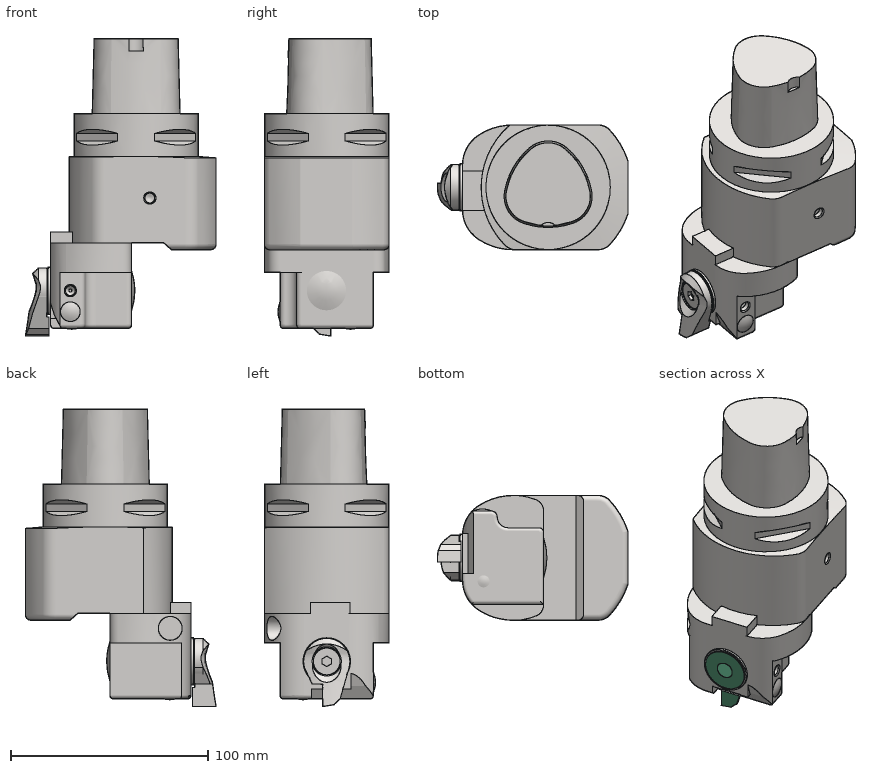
import cadquery as cq
import math


TAPER_HEIGHT = 38.0
TAPER_ANGLE = math.degrees(math.atan(1 / 40))
LOBE_REACH = 23.5
LOBE_RADIUS = 14.5
SIDE_REACH = 20.4
KEYWAY_DIA = 10.0
KEYWAY_DEPTH = 6.3
KEYWAY_AXIS_Y = -22.8

FLANGE_RADIUS = 31.5
FLANGE_HEIGHT = 21.7
GRIP_FLOOR = 28.0
GRIP_TOP = -10.1
GRIP_BOTTOM = -13.9
GRIP_FLARE = 2.1
GRIP_COUNT = 4

HALF_WIDTH = 31.7
BLOCK_LEFT = -34.0
BLOCK_RIGHT = 40.6
BLOCK_LEFT_RADIUS = 41.7
BLOCK_RIGHT_RADIUS = 42.7
BLOCK_CORNER_FILLET = 8.3
BLOCK_END_FILLET = 1.5
BLOCK_BOTTOM = -65.7
TOP_CONE_DROP = 0.9
LIP_BOTTOM = -69.2
LIP_START = 14.0
LIP_SLOPE_LENGTH = 4.0
LIP_FILLET = 2.9
SIDE_HOLE_X = 7.0
SIDE_HOLE_Z = -42.9

CARTRIDGE_LEFT = -43.5
CARTRIDGE_RIGHT = -2.3
CARTRIDGE_CENTER = -17.8
CARTRIDGE_LEFT_FILLET = 18.1
CARTRIDGE_RIGHT_FILLET = 6.2
DISC_BOTTOM = -80.6
CARTRIDGE_BOTTOM = -109.0
LOWER_HALF_WIDTH = 23.7
BOTTOM_FILLET = 1.8
TONGUE_TOP = -60.1
TONGUE_BACK = 8.3
TONGUE_FRONT = -11.8

RELIEF_START = -28.7
RELIEF_FACE = -15.3
RELIEF_OUTER_RADIUS = 2.9
RELIEF_CORNER_FILLET = 2.4

PANEL_X = -33.4
NOZZLE_Z = -89.8
PLUG_Z = -100.5
PLUG_DIA = 10.0
PLUG_HEIGHT = 1.0
BOTTOM_PLUG_DIA = 6.0
BOTTOM_PLUG_HEIGHT = 0.5
BOTTOM_PLUG_X = -32.6
BOTTOM_PLUG_Y = 12.1
REAR_CAP_DIA = 20.0
REAR_CAP_HEIGHT = 1.7

CROSS_HOLE_DIA = 12.1
CROSS_HOLE_X = -32.9
CROSS_HOLE_Z = -73.2
CROSS_HOLE_FLOOR = 19.6

PORT_RIM_DIA = 6.2
PORT_DIA = 5.0
PORT_DEPTH = 3.0
SIDE_HOLE_FLOOR_SLOPE = 0.3
NOZZLE_FLOOR_SLOPE = 1.0
NOZZLE_BORE_DIA = 1.5

INSERT_AXIS_Z = -90.0
SEAT_DIA = 24.0
SEAT_FACE = -44.7
SEAT_PAD_HALF = 12.2
SEAT_PAD_BOTTOM = -103.9
NOTCH_BACK = 7.9
CLEARANCE_START_Z = -96.0
CLEARANCE_BEND = (-41.4, -102.5)
CLEARANCE_END_X = -37.9

INSERT_BACK = -45.3
INSERT_NECK_DIA = 22.3
INSERT_DIA = 23.4
INSERT_FRONT = -57.4
INSERT_EDGE_X = -49.5
INSERT_CROWN_X = -53.2
INSERT_CROWN_DIA = 16.6
BLADE_BACK_EDGE = 2.1
BLADE_HEEL = (7.4, -101.5)
BLADE_SHOULDER = (11.3, -93.2)
TIP_Z = -113.0
TIP_CORNER_Z = -109.0
TIP_CORNER_Y = -6.8
TIP_END = (-3.6, -112.0)
BLADE_BACK_X = -44.1
BLADE_BACK_Z = -103.1
FACE_LINE = [(-53.3, -75.5), (-52.4, -84.5), (-52.4, -90.6), (-54.0, -99.7), (-55.5, -108.7), (-57.8, -123.8)]
FACE_RADIUS = 21.1
HEAD_FACE = -50.5
HEAD_DIA = 13.6
HEAD_LENGTH = 2.9
SINK_DIA = 14.8
SINK_FLARE_X = -51.2
SINK_SLOPE = 1.0
SHANK_DIA = 8.2
SHANK_LENGTH = 21.1
SOCKET_DIA = 5.3
SOCKET_DEPTH = 1.8

MARGIN = 7.5


def polar(radius, degrees):
    """Point at a given radius and angle about the Z axis."""
    angle = math.radians(degrees)
    return (radius * math.cos(angle), radius * math.sin(angle))


def box_between(low, high):
    """Axis-parallel box between two opposite corners."""
    size = [b - a for a, b in zip(low, high)]
    return cq.Workplane("XY").box(*size, centered=False).translate(low)


def cylinder_along(start, direction, diameter, length):
    return cq.Workplane(cq.Solid.makeCylinder(
        diameter / 2, length, cq.Vector(*start), cq.Vector(*direction)))


def cone_along(start, direction, start_dia, end_dia, length):
    return cq.Workplane(cq.Solid.makeCone(
        start_dia / 2, end_dia / 2, length, cq.Vector(*start), cq.Vector(*direction)))


def dome(center, direction, diameter, height):
    """Spherical cap standing on a flat face, with a short root inside the body."""
    half = diameter / 2
    radius = (half ** 2 + height ** 2) / (2 * height)
    mid_tilt = math.asin(half / radius) / 2
    mid_point = (radius * math.sin(mid_tilt), height - radius * (1 - math.cos(mid_tilt)))
    cap = (
        cq.Workplane("XZ")
        .moveTo(0, -height)
        .lineTo(half, -height)
        .lineTo(half, 0)
        .threePointArc(mid_point, (0, height))
        .close()
        .revolve(360, (0, 0, 0), (0, 1, 0))
    )
    placement = cq.Plane(origin=center, normal=direction).location
    return cq.Workplane(cap.val().moved(placement))


def taper():
    """Three-lobed taper: lobe arcs and flatter side arcs that run tangent into each other."""
    lobe_center = LOBE_REACH - LOBE_RADIUS
    near = lobe_center / 2 - SIDE_REACH
    across = lobe_center * math.cos(math.radians(30))
    side_radius = (LOBE_RADIUS ** 2 - across ** 2 - near ** 2) / (2 * (near + LOBE_RADIUS))
    tangent_slope = math.atan2(across, side_radius + near)
    joint_x = side_radius * math.sin(tangent_slope)
    joint_y = side_radius * math.cos(tangent_slope) - (side_radius - SIDE_REACH)
    joint_radius = math.hypot(joint_x, joint_y)
    half_side = math.degrees(math.atan2(joint_x, joint_y))

    outline = cq.Workplane("XY").moveTo(*polar(joint_radius, 270 - half_side))
    for side_angle in (270, 30, 150):
        outline = outline.threePointArc(
            polar(SIDE_REACH, side_angle), polar(joint_radius, side_angle + half_side))
        outline = outline.threePointArc(
            polar(LOBE_REACH, side_angle + 60), polar(joint_radius, side_angle + 120 - half_side))
    body = outline.close().extrude(TAPER_HEIGHT, taper=TAPER_ANGLE)
    keyway = cylinder_along(
        (0, KEYWAY_AXIS_Y, TAPER_HEIGHT - KEYWAY_DEPTH), (0, 0, 1), KEYWAY_DIA, KEYWAY_DEPTH)
    return body.cut(keyway)


def flange():
    """Round flange with flared gripper slots on the diagonals."""
    body = cq.Workplane("XY").circle(FLANGE_RADIUS).extrude(-FLANGE_HEIGHT)
    slot = (
        cq.Workplane("XZ")
        .polyline([
            (GRIP_FLOOR, GRIP_TOP),
            (FLANGE_RADIUS, GRIP_TOP + GRIP_FLARE),
            (FLANGE_RADIUS, GRIP_BOTTOM - GRIP_FLARE),
            (GRIP_FLOOR, GRIP_BOTTOM),
        ])
        .close()
        .extrude(FLANGE_RADIUS, both=True)
    )
    for i in range(GRIP_COUNT):
        body = body.cut(slot.rotate((0, 0, 0), (0, 0, 1), 45 + i * 360 / GRIP_COUNT))
    return body


def block_plan(bottom):
    """Plan shape of the adapter block, from a bottom level up to the flange."""
    left_center = BLOCK_LEFT + BLOCK_LEFT_RADIUS
    left_corner = left_center - math.sqrt(BLOCK_LEFT_RADIUS ** 2 - HALF_WIDTH ** 2)
    right_corner = math.sqrt(BLOCK_RIGHT_RADIUS ** 2 - HALF_WIDTH ** 2)
    flat_half = math.sqrt(BLOCK_RIGHT_RADIUS ** 2 - BLOCK_RIGHT ** 2)
    arc_middle = math.degrees(
        math.atan2(HALF_WIDTH, right_corner) + math.atan2(flat_half, BLOCK_RIGHT)) / 2
    prism = (
        cq.Workplane("XY", origin=(0, 0, bottom))
        .moveTo(left_corner, HALF_WIDTH)
        .threePointArc((BLOCK_LEFT, 0), (left_corner, -HALF_WIDTH))
        .lineTo(right_corner, -HALF_WIDTH)
        .threePointArc(polar(BLOCK_RIGHT_RADIUS, -arc_middle), (BLOCK_RIGHT, -flat_half))
        .lineTo(BLOCK_RIGHT, flat_half)
        .threePointArc(polar(BLOCK_RIGHT_RADIUS, arc_middle), (right_corner, HALF_WIDTH))
        .close()
        .extrude(-FLANGE_HEIGHT - bottom)
    )
    prism = prism.edges("|Z").edges("<Y").fillet(BLOCK_CORNER_FILLET)
    prism = prism.edges("|Z").edges(">Y").edges(">X").fillet(BLOCK_CORNER_FILLET)
    return prism.edges("|Z").edges(">X").fillet(BLOCK_END_FILLET)


def block():
    """Adapter block with a conical top, a lip under its right end and a hole in its front face."""
    lip_box = box_between(
        (LIP_START, -HALF_WIDTH, LIP_BOTTOM), (BLOCK_RIGHT, HALF_WIDTH, BLOCK_BOTTOM))
    lip = block_plan(LIP_BOTTOM).intersect(lip_box)
    lip = lip.faces("<Z").edges("not(<X)").fillet(LIP_FILLET)
    slope_cut = (
        cq.Workplane("XZ")
        .polyline([
            (LIP_START, BLOCK_BOTTOM),
            (LIP_START + LIP_SLOPE_LENGTH, LIP_BOTTOM),
            (LIP_START, LIP_BOTTOM),
        ])
        .close()
        .extrude(HALF_WIDTH, both=True)
    )
    body = block_plan(BLOCK_BOTTOM).union(lip.cut(slope_cut))
    cone_bottom = -FLANGE_HEIGHT - TOP_CONE_DROP
    envelope = (
        cq.Workplane("XZ")
        .polyline([
            (0, -FLANGE_HEIGHT),
            (FLANGE_RADIUS, -FLANGE_HEIGHT),
            (BLOCK_RIGHT_RADIUS, cone_bottom),
            (BLOCK_RIGHT_RADIUS, LIP_BOTTOM),
            (0, LIP_BOTTOM),
        ])
        .close()
        .revolve(360, (0, 0, 0), (0, 1, 0))
    )
    body = body.intersect(envelope)
    return body.cut(port((SIDE_HOLE_X, -HALF_WIDTH, SIDE_HOLE_Z), 0, SIDE_HOLE_FLOOR_SLOPE))


def port(mouth, end_dia, floor_slope):
    """Front-face hole with a chamfered rim and a conical floor that narrows to an end diameter."""
    x, y, z = mouth
    inward = (0, 1, 0)
    rim_depth = (PORT_RIM_DIA - PORT_DIA) / 2
    cone_depth = floor_slope * (PORT_DIA - end_dia) / 2
    floor_y = y + PORT_DEPTH
    hole = cone_along(mouth, inward, PORT_RIM_DIA, PORT_DIA, rim_depth)
    hole = hole.union(cylinder_along(mouth, inward, PORT_DIA, PORT_DEPTH))
    return hole.union(cone_along((x, floor_y, z), inward, PORT_DIA, end_dia, cone_depth))


def make_adapter():
    return taper().union(flange()).union(block())


def cartridge_plan():
    """Full-height prism of the cartridge: a round disc outline cut flat at its left and right."""
    top = BLOCK_BOTTOM
    disc = cq.Workplane("XY", origin=(CARTRIDGE_CENTER, 0, CARTRIDGE_BOTTOM)).circle(HALF_WIDTH)
    prism = disc.extrude(top - CARTRIDGE_BOTTOM).intersect(box_between(
        (CARTRIDGE_LEFT, -HALF_WIDTH, CARTRIDGE_BOTTOM), (CARTRIDGE_RIGHT, HALF_WIDTH, top)))
    right_corners = cq.selectors.BoxSelector(
        (CARTRIDGE_RIGHT - 1.5, -HALF_WIDTH, CARTRIDGE_BOTTOM), (CARTRIDGE_RIGHT + 1.5, HALF_WIDTH, top))
    left_corners = cq.selectors.BoxSelector(
        (CARTRIDGE_LEFT - 1.5, -HALF_WIDTH, CARTRIDGE_BOTTOM), (CARTRIDGE_LEFT + 1.5, HALF_WIDTH, top))
    prism = prism.edges("|Z").edges(right_corners).fillet(CARTRIDGE_RIGHT_FILLET)
    return prism.edges("|Z").edges(left_corners).fillet(CARTRIDGE_LEFT_FILLET)


def front_relief():
    """Space cut away at the front right below the disc, entered by an S-shaped wall."""
    depth = LOWER_HALF_WIDTH + RELIEF_FACE
    inner_radius = depth - RELIEF_OUTER_RADIUS
    wall_x = RELIEF_START + RELIEF_OUTER_RADIUS
    wall_y = RELIEF_OUTER_RADIUS - LOWER_HALF_WIDTH
    half = math.sqrt(0.5)
    far_x = CARTRIDGE_RIGHT + MARGIN
    corner_start = CARTRIDGE_RIGHT - RELIEF_CORNER_FILLET
    corner_center_y = RELIEF_FACE + RELIEF_CORNER_FILLET
    return (
        cq.Workplane("XY", origin=(0, 0, CARTRIDGE_BOTTOM))
        .moveTo(RELIEF_START, -LOWER_HALF_WIDTH)
        .threePointArc(
            (RELIEF_START + RELIEF_OUTER_RADIUS * half, wall_y - RELIEF_OUTER_RADIUS * half),
            (wall_x, wall_y))
        .threePointArc(
            (wall_x + inner_radius * (1 - half), wall_y + inner_radius * half),
            (wall_x + inner_radius, RELIEF_FACE))
        .lineTo(corner_start, RELIEF_FACE)
        .threePointArc(
            (corner_start + RELIEF_CORNER_FILLET * half, corner_center_y - RELIEF_CORNER_FILLET * half),
            (CARTRIDGE_RIGHT, corner_center_y))
        .lineTo(far_x, corner_center_y)
        .lineTo(far_x, -LOWER_HALF_WIDTH)
        .close()
        .extrude(DISC_BOTTOM - CARTRIDGE_BOTTOM)
    )


def insert_clearance():
    """Sloped cuts at the lower left that clear the insert: beside the seat pad and underneath it."""
    left = CARTRIDGE_LEFT - MARGIN
    bend_x, bend_z = CLEARANCE_BEND

    def prism(points, back_y, front_y):
        plane = cq.Workplane("XZ", origin=(0, back_y, 0))
        return plane.polyline(points).close().extrude(back_y - front_y)

    slope_end = (CLEARANCE_END_X, CARTRIDGE_BOTTOM)
    corner = (left, CARTRIDGE_BOTTOM)
    beside_pad = prism(
        [(left, CLEARANCE_START_Z), (CARTRIDGE_LEFT, CLEARANCE_START_Z), CLEARANCE_BEND, slope_end, corner],
        -SEAT_PAD_HALF, -HALF_WIDTH)
    slope = (CLEARANCE_END_X - bend_x) / (bend_z - CARTRIDGE_BOTTOM)
    pad_slope_x = bend_x + slope * (bend_z - SEAT_PAD_BOTTOM)
    below_pad = prism(
        [(left, SEAT_PAD_BOTTOM), (pad_slope_x, SEAT_PAD_BOTTOM), slope_end, corner],
        NOTCH_BACK, -SEAT_PAD_HALF)
    return beside_pad.union(below_pad)


def make_cartridge():
    plan = cartridge_plan()
    disc = plan.intersect(box_between(
        (CARTRIDGE_LEFT, -HALF_WIDTH, DISC_BOTTOM), (CARTRIDGE_RIGHT, HALF_WIDTH, BLOCK_BOTTOM)))
    lower = plan.intersect(box_between(
        (CARTRIDGE_LEFT, -LOWER_HALF_WIDTH, CARTRIDGE_BOTTOM),
        (CARTRIDGE_RIGHT, LOWER_HALF_WIDTH, DISC_BOTTOM)))
    lower = lower.cut(front_relief()).faces("<Z").edges().fillet(BOTTOM_FILLET)
    lower = lower.cut(insert_clearance())

    tongue = box_between(
        (CARTRIDGE_LEFT, TONGUE_FRONT, BLOCK_BOTTOM), (CARTRIDGE_CENTER, TONGUE_BACK, TONGUE_TOP))
    tongue = tongue.cut(block_plan(BLOCK_BOTTOM))

    seat = cylinder_along(
        (SEAT_FACE, 0, INSERT_AXIS_Z), (1, 0, 0), SEAT_DIA, CARTRIDGE_LEFT - SEAT_FACE)
    front_plug = dome((PANEL_X, -LOWER_HALF_WIDTH, PLUG_Z), (0, -1, 0), PLUG_DIA, PLUG_HEIGHT)
    bottom_plug = dome(
        (BOTTOM_PLUG_X, BOTTOM_PLUG_Y, CARTRIDGE_BOTTOM), (0, 0, -1), BOTTOM_PLUG_DIA, BOTTOM_PLUG_HEIGHT)
    rear_cap = dome((CARTRIDGE_RIGHT, 0, INSERT_AXIS_Z), (1, 0, 0), REAR_CAP_DIA, REAR_CAP_HEIGHT)
    body = disc.union(lower)
    for addition in (tongue, seat, front_plug, bottom_plug, rear_cap):
        body = body.union(addition)

    cross_hole = cylinder_along(
        (CROSS_HOLE_X, CROSS_HOLE_FLOOR, CROSS_HOLE_Z), (0, 1, 0), CROSS_HOLE_DIA, HALF_WIDTH)
    nozzle_mouth = (PANEL_X, -LOWER_HALF_WIDTH, NOZZLE_Z)
    nozzle = port(nozzle_mouth, NOZZLE_BORE_DIA, NOZZLE_FLOOR_SLOPE)
    nozzle = nozzle.union(cylinder_along(nozzle_mouth, (0, 1, 0), NOZZLE_BORE_DIA, 2 * PORT_DEPTH))
    return body.cut(cross_hole).cut(nozzle).cut(screw_shape())


def insert_face_bar():
    """Round bar swept down the insert; its left side is the insert's curved front face."""
    path_points = [(x + FACE_RADIUS, z) for x, z in FACE_LINE]
    path = cq.Workplane("XZ").spline(path_points)
    start_x, start_z = path_points[0]
    return cq.Workplane("XY", origin=(start_x, 0, start_z)).circle(FACE_RADIUS).sweep(path)


def insert_outline():
    """Round hub with a conical crown, and the blade that tapers down from it."""
    hub = cylinder_along(
        (INSERT_EDGE_X, 0, INSERT_AXIS_Z), (1, 0, 0), INSERT_DIA, INSERT_BACK - INSERT_EDGE_X)
    crown = cone_along(
        (INSERT_CROWN_X, 0, INSERT_AXIS_Z), (1, 0, 0),
        INSERT_CROWN_DIA, INSERT_DIA, INSERT_EDGE_X - INSERT_CROWN_X)
    shoulder_y, shoulder_z = BLADE_SHOULDER
    blade = (
        cq.Workplane("YZ", origin=(INSERT_FRONT, 0, 0))
        .polyline([
            (shoulder_y, INSERT_AXIS_Z),
            BLADE_SHOULDER,
            BLADE_HEEL,
            (BLADE_BACK_EDGE, BLADE_HEEL[1]),
            (BLADE_BACK_EDGE, TIP_Z),
            TIP_END,
            (TIP_CORNER_Y, TIP_CORNER_Z),
            (-shoulder_y, shoulder_z),
            (-shoulder_y, INSERT_AXIS_Z),
        ])
        .close()
        .extrude(BLADE_BACK_X - INSERT_FRONT)
    )
    seat_space = box_between(
        (INSERT_BACK, -INSERT_DIA, BLADE_BACK_Z), (BLADE_BACK_X, INSERT_DIA, INSERT_AXIS_Z))
    return hub.union(crown).union(blade.cut(seat_space))


def make_insert():
    body = insert_outline().intersect(insert_face_bar())
    neck = cylinder_along(
        (INSERT_BACK, 0, INSERT_AXIS_Z), (1, 0, 0), INSERT_NECK_DIA, SEAT_FACE - INSERT_BACK)
    body = body.union(neck)

    head_bottom = HEAD_FACE + HEAD_LENGTH
    sink_depth = SINK_FLARE_X - INSERT_FRONT
    sink_mouth = SINK_DIA + 2 * SINK_SLOPE * sink_depth
    sink = cone_along((INSERT_FRONT, 0, INSERT_AXIS_Z), (1, 0, 0), sink_mouth, SINK_DIA, sink_depth)
    sink = sink.union(cylinder_along(
        (SINK_FLARE_X, 0, INSERT_AXIS_Z), (1, 0, 0), SINK_DIA, HEAD_FACE - SINK_FLARE_X))
    sink = sink.union(cylinder_along(
        (HEAD_FACE, 0, INSERT_AXIS_Z), (1, 0, 0), HEAD_DIA, head_bottom - HEAD_FACE))
    return body.cut(sink).cut(screw_shape())


def screw_shape():
    """Screw without its socket; it also cuts its own hole in the insert and the cartridge."""
    head = cylinder_along((HEAD_FACE, 0, INSERT_AXIS_Z), (1, 0, 0), HEAD_DIA, HEAD_LENGTH)
    return head.union(cylinder_along((HEAD_FACE, 0, INSERT_AXIS_Z), (1, 0, 0), SHANK_DIA, SHANK_LENGTH))


def make_screw():
    socket = (
        cq.Workplane("YZ", origin=(HEAD_FACE, 0, INSERT_AXIS_Z))
        .transformed(rotate=(0, 0, 90))
        .polygon(6, SOCKET_DIA)
        .extrude(SOCKET_DEPTH)
    )
    return screw_shape().cut(socket)


adapter = make_adapter()
cartridge = make_cartridge()
insert = make_insert()
screw = make_screw()

result = cq.Compound.makeCompound([adapter.val(), cartridge.val(), insert.val(), screw.val()])